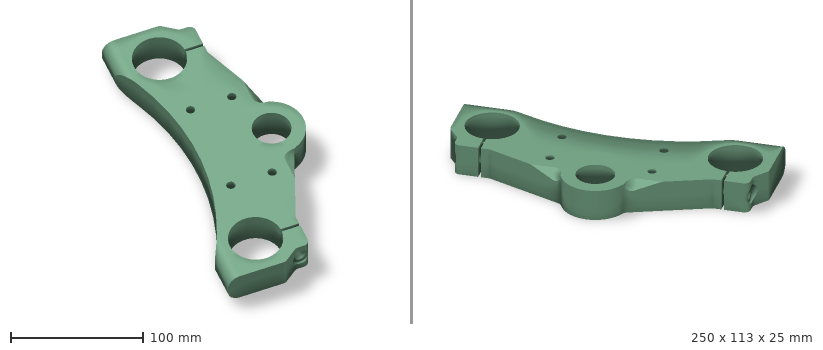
import cadquery as cq
import math

width = 250.0
thickness = 25.0
half_width = width / 2

stem_y = 87.0
boss_radius = 26.0
stem_bore_radius = 15.0
boss_blend_radius = 6.0

fork_x = 95.2
fork_y = 34.8
fork_bore_diameter = 41.8
slot_width = 2.2
lug_top_y = 70.8
lug_side_x = 115.8
lug_foot_y = 59.2
shoulder_y = 47.0
lug_fillet_radius = 5.0

arm_start_x = 87.2
arm_angle = 21.4

front_arc_radius = 200.0
front_arc_top_y = 26.0
front_edge_radius = 10.0

mount_hole_radius = 3.5
mount_hole_x = 40.0
mount_hole_front_y = 37.2
mount_hole_rear_y = 71.0

relief_start_y = 84.8
relief_angle = 40.0
relief_inner_x = 25.0
relief_corner_radius = 7.0
relief_tool_size = 35.0

screw_y = 63.0
screw_z = thickness / 2
screw_seat_radius = 7.2
screw_seat_depth = 2.0
screw_clearance_radius = 4.5
screw_thread_radius = 3.2
screw_thread_length = 20.0
drill_point_angle = 118.0

SIDES = (-1, 1)


def vertical_edges_at(x, y):
    """Selector for the vertical edge through (x, y) and its mirror twin."""
    reach = 0.2

    def edge_at(edge_x):
        return cq.selectors.BoxSelector(
            (edge_x - reach, y - reach, 0),
            (edge_x + reach, y + reach, thickness),
        )

    return edge_at(x) + edge_at(-x)


def arm_boss_corner():
    """Point where the sloping arm edge meets the boss circle (+X side)."""
    slope = math.tan(math.radians(arm_angle))
    height_at_centre = lug_top_y + slope * arm_start_x - stem_y
    a = 1 + slope**2
    b = -2 * slope * height_at_centre
    c = height_at_centre**2 - boss_radius**2
    x = (-b + math.sqrt(b**2 - 4 * a * c)) / (2 * a)
    return x, stem_y + height_at_centre - slope * x


def make_plate():
    corner_x, corner_y = arm_boss_corner()
    arc_center_y = front_arc_top_y - front_arc_radius
    arc_end_x = math.sqrt(front_arc_radius**2 - arc_center_y**2)
    plate = (
        cq.Workplane("XY")
        .moveTo(-arc_end_x, 0)
        .lineTo(-half_width, 0)
        .lineTo(-half_width, shoulder_y)
        .lineTo(-lug_side_x, lug_foot_y)
        .lineTo(-lug_side_x, lug_top_y)
        .lineTo(-arm_start_x, lug_top_y)
        .lineTo(-corner_x, corner_y)
        .threePointArc((0, stem_y + boss_radius), (corner_x, corner_y))
        .lineTo(arm_start_x, lug_top_y)
        .lineTo(lug_side_x, lug_top_y)
        .lineTo(lug_side_x, lug_foot_y)
        .lineTo(half_width, shoulder_y)
        .lineTo(half_width, 0)
        .lineTo(arc_end_x, 0)
        .threePointArc((0, front_arc_top_y), (-arc_end_x, 0))
        .close()
        .extrude(thickness)
    )
    plate = plate.edges(vertical_edges_at(corner_x, corner_y)).fillet(boss_blend_radius)
    lug_corners = [
        (half_width, shoulder_y),
        (lug_side_x, lug_foot_y),
        (lug_side_x, lug_top_y),
    ]
    for x, y in lug_corners:
        plate = plate.edges(vertical_edges_at(x, y)).fillet(lug_fillet_radius)
    return plate


def round_front_edges(plate):
    """Round the long front edges so that the concave arc cuts through the rounding."""
    depth = stem_y + boss_radius
    envelope = (
        cq.Workplane("XY")
        .box(width, depth, thickness, centered=(True, False, False))
        .faces("<Y")
        .edges("|X")
        .fillet(front_edge_radius)
    )
    return plate.intersect(envelope)


def make_relief_tool(side):
    """Tool tilted about X, with a rounded lower edge next to the boss."""
    tool = (
        cq.Workplane("XY")
        .box(relief_tool_size, relief_tool_size, relief_tool_size, centered=(False, False, False))
        .edges("|Y and <X and <Z")
        .fillet(relief_corner_radius)
        .rotate((0, 0, 0), (1, 0, 0), -relief_angle)
        .translate((relief_inner_x, relief_start_y, thickness))
    )
    return tool if side > 0 else tool.mirror("YZ")


def cylinder_along_x(radius, start_x, length):
    return (
        cq.Workplane("YZ", origin=(start_x, screw_y, screw_z))
        .circle(radius)
        .extrude(length)
    )


def make_screw_hole(side):
    """Spot-faced seat, clearance to the slot, then a blind threaded hole with a drill point."""
    seat_x = -lug_side_x + screw_seat_depth
    slot_far_x = -fork_x + slot_width / 2
    thread_end_x = slot_far_x + screw_thread_length
    point_length = screw_thread_radius / math.tan(math.radians(drill_point_angle / 2))
    seat = cylinder_along_x(screw_seat_radius, -half_width, half_width + seat_x)
    clearance = cylinder_along_x(screw_clearance_radius, seat_x, -fork_x - seat_x)
    thread = cylinder_along_x(screw_thread_radius, -fork_x, thread_end_x + fork_x)
    point = cq.Workplane(
        cq.Solid.makeCone(
            screw_thread_radius,
            0,
            point_length,
            pnt=cq.Vector(thread_end_x, screw_y, screw_z),
            dir=cq.Vector(1, 0, 0),
        )
    )
    hole = seat.union(clearance).union(thread).union(point)
    return hole if side < 0 else hole.mirror("YZ")


def make_slot(side):
    """Clamp slot from the fork bore out through the rear of the lug."""
    return (
        cq.Workplane("XY")
        .box(slot_width, lug_top_y - fork_y, thickness, centered=(True, False, False))
        .translate((side * fork_x, fork_y, 0))
    )


def drill(plate, points, radius):
    holes = cq.Workplane("XY").pushPoints(points).circle(radius).extrude(thickness)
    return plate.cut(holes)


result = round_front_edges(make_plate())

result = drill(result, [(0, stem_y)], stem_bore_radius)
result = drill(result, [(side * fork_x, fork_y) for side in SIDES], fork_bore_diameter / 2)
mount_points = [
    (side * mount_hole_x, y) for side in SIDES for y in (mount_hole_front_y, mount_hole_rear_y)
]
result = drill(result, mount_points, mount_hole_radius)

for side in SIDES:
    result = result.cut(make_slot(side))
    result = result.cut(make_relief_tool(side))
    result = result.cut(make_screw_hole(side))